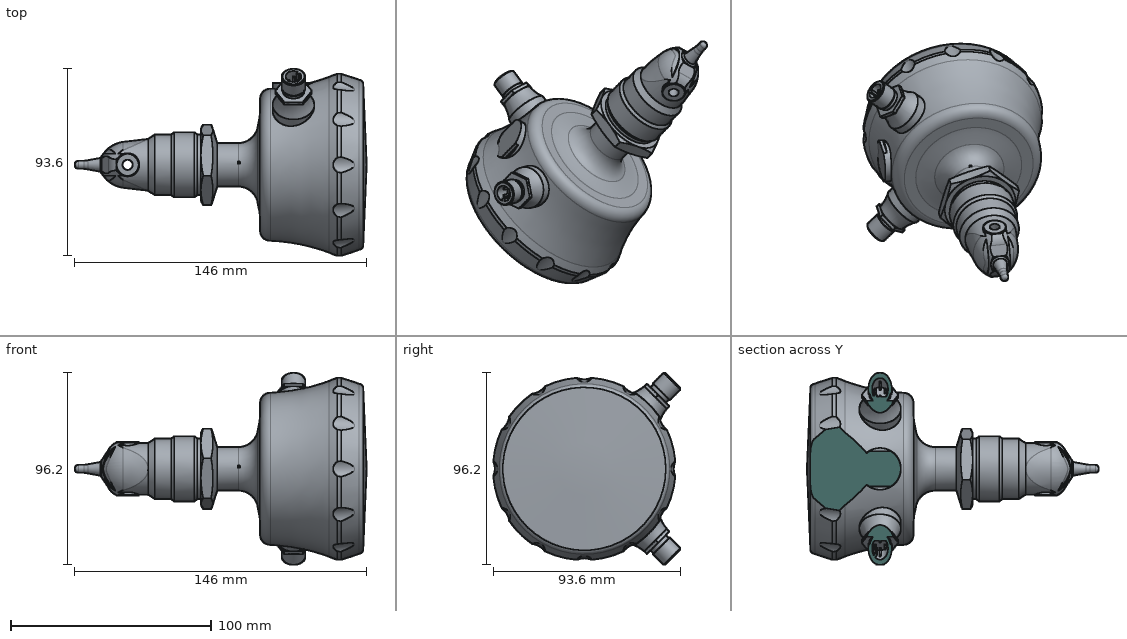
import cadquery as cq
import math

LENGTH = 146

NOZZLE_RADIUS = 2.0
NOZZLE_TIP_ROUND = 1.8
NOZZLE_TAPER_START = 4.5
NOZZLE_COLLAR_START = 6.4
NOZZLE_COLLAR_RADIUS = 2.3
NOZZLE_END = 12.8
NOZZLE_END_RADIUS = 3.5

HEAD_START = 13.6
HEAD_START_RADIUS = 4.5
HEAD_SHOULDER = 21.0
HEAD_ROUND_MIDDLE = (17.4, 9.2)
HEAD_RADIUS = 13.0
HEAD_END = 36.6
SIDE_ROUND_MIDDLE = (17.7, 8.9)
SIDE_BEND = 24.1
SIDE_BEND_WIDTH = 11.5
SIDE_AXIS_OFFSET = 4.4

RIDGE_WIDTH = 11.0
RIDGE_BREAK = (16.8, 9.3)
RIDGE_ROUND_MIDDLE = (18.5, 11.7)
RIDGE_TOP = (20.7, 13.1)

CROSS_X = 26.4
CROSS_HOLE_DIAMETER = 5.0
CROSS_BOSS_DIAMETER = 11.7
CROSS_FACE_DIAMETER = 11.0
CROSS_BOSS_HEIGHT = 13.5

STEP_RADIUS = 15.2
STEP_START = 40.0
STEP_END = 48.2
SHANK_RADIUS = 16.3
SHANK_START = 49.8
SHANK_END = 59.7
RELIEF_START = 61.3

NUT_START = 63.0
NUT_END = 71.2
NUT_ACROSS_FLATS = 36.0
NUT_TURN = 45
NUT_CHAMFER = 1.2
NUT_CONE_START = 68.2

NECK_RADIUS = 11.0
NECK_END = 81.7
NECK_FILLET_END = (91.1, 17.7)
FACE_BLEND_MIDDLE = (92.0, 21.6)
FACE_X = 92.5
FACE_INNER_RADIUS = 27.0
HOUSING_RADIUS = 38.1
HOUSING_EDGE = 5.3
FLANK_MIDDLE = (115.3, 40.5)
FLANK_END = (127, 44.0)
LEAK_HOLE_DIAMETER = 1.2
LEAK_HOLE_X = 82.0
LEAK_HOLE_DEPTH = 1.5
LEAK_HOLE_ANGLES = (-6, 84)

RIM_RADIUS = 45.7
RIM_START = 131.2
RIM_END = 133.1
LID_EDGE = (141.9, 42.6)
LID_FACE = (144.2, 40.7)
LID_ROUND_MIDDLE = (143.6, 41.7)
SCALLOP_COUNT = 12
SCALLOP_DIAMETER = 13.9
SCALLOP_START = (129.0, 44.8)
SCALLOP_END = (139.8, 43.4)

PORT_X = 109.3
CONNECTOR_ANGLES = (45, 135)
SOCKET_DIAMETER = 20.9
SOCKET_TOP = 42.5
CONE_MIDDLE = (8.8, 46.4)
CONE_TOP_DIAMETER = 16
CONE_TOP = 50.4
FLANGE_TOP = 52.3
FLANGE_ACROSS_FLATS = 15.9
PLUG_NECK_DIAMETER = 11.0
PLUG_NECK_TOP = 54.5
PLUG_DIAMETER = 12.0
PLUG_CHAMFER = 0.51
PLUG_TOP = 62.5
BORE_DIAMETER = 7.7
BORE_DEPTH = 8.8
PIN_DIAMETER = 1.0
PIN_LENGTH = 5.8
PIN_CIRCLE_DIAMETER = 5.0
PIN_COUNT = 4
KEY_SIZE = 1.3
KEY_ANGLE = 45

BLIND_ANGLE = 90
BLIND_FLAT_BOTTOM = 39.3
BLIND_ACROSS_FLATS = 17.8
BLIND_TOP = 41.0


def revolve_about_x(profile):
    """Turn a closed half profile (x, radius) about the X axis."""
    return profile.close().revolve(360, (0, 0, 0), (1, 0, 0))


def hexagon_diameter(across_flats):
    """Corner-to-corner size of a hexagon."""
    return across_flats / math.cos(math.pi / 6)


def make_nozzle():
    """Slender tip whose root reaches into the head."""
    return revolve_about_x(
        cq.Workplane("XY")
        .moveTo(0, 0)
        .lineTo(0, NOZZLE_RADIUS - NOZZLE_TIP_ROUND)
        .radiusArc((NOZZLE_TIP_ROUND, NOZZLE_RADIUS), NOZZLE_TIP_ROUND)
        .lineTo(NOZZLE_TAPER_START, NOZZLE_RADIUS)
        .lineTo(NOZZLE_COLLAR_START, NOZZLE_COLLAR_RADIUS)
        .lineTo(NOZZLE_END, NOZZLE_END_RADIUS)
        .lineTo(HEAD_START, HEAD_START_RADIUS)
        .lineTo(HEAD_SHOULDER, HEAD_START_RADIUS)
        .lineTo(HEAD_SHOULDER, 0)
    )


def make_head_side():
    """Turned body about an axis shifted to -Y, which forms the flatter +Y side of the head."""
    side = (
        cq.Workplane("XY")
        .moveTo(HEAD_START, -SIDE_AXIS_OFFSET)
        .lineTo(HEAD_START, HEAD_START_RADIUS)
        .threePointArc(SIDE_ROUND_MIDDLE, (SIDE_BEND, SIDE_BEND_WIDTH))
        .lineTo(HEAD_END, HEAD_RADIUS)
        .lineTo(HEAD_END, -SIDE_AXIS_OFFSET)
        .close()
    )
    return side.revolve(360, (0, -SIDE_AXIS_OFFSET, 0), (1, -SIDE_AXIS_OFFSET, 0))


def make_nose_ridge():
    """Upright web from the nozzle up and down to the two bosses."""
    return (
        cq.Workplane("XZ")
        .moveTo(HEAD_START, 0)
        .lineTo(HEAD_START, HEAD_START_RADIUS)
        .lineTo(*RIDGE_BREAK)
        .threePointArc(RIDGE_ROUND_MIDDLE, RIDGE_TOP)
        .lineTo(CROSS_X, RIDGE_TOP[1])
        .lineTo(CROSS_X, 0)
        .mirrorX()
        .extrude(RIDGE_WIDTH / 2, both=True)
    )


def make_head():
    """Domed head with flattened sides, a nose ridge and a boss above and below."""
    core = revolve_about_x(
        cq.Workplane("XY")
        .moveTo(HEAD_START, 0)
        .lineTo(HEAD_START, HEAD_START_RADIUS)
        .threePointArc(HEAD_ROUND_MIDDLE, (HEAD_SHOULDER, HEAD_RADIUS))
        .lineTo(HEAD_END, HEAD_RADIUS)
        .lineTo(HEAD_END, 0)
    )
    side = make_head_side()
    head = core.union(make_nose_ridge()).intersect(side).intersect(side.mirror("XZ"))
    boss = (
        cq.Workplane("XY", origin=(CROSS_X, 0, -CROSS_BOSS_HEIGHT))
        .circle(CROSS_BOSS_DIAMETER / 2)
        .extrude(2 * CROSS_BOSS_HEIGHT)
        .faces("|Z")
        .chamfer((CROSS_BOSS_DIAMETER - CROSS_FACE_DIAMETER) / 2)
    )
    return head.union(boss)


def make_cross_hole():
    """Hole along Z through the head and both bosses."""
    return (
        cq.Workplane("XY", origin=(CROSS_X, 0, -CROSS_BOSS_HEIGHT))
        .circle(CROSS_HOLE_DIAMETER / 2)
        .extrude(2 * CROSS_BOSS_HEIGHT)
    )


def make_turned_body():
    """Shank, neck, housing and lid as one turned profile."""
    edge_mid = HOUSING_EDGE * (1 - math.sqrt(0.5))
    return revolve_about_x(
        cq.Workplane("XY")
        .moveTo(HEAD_END, 0)
        .lineTo(HEAD_END, HEAD_RADIUS)
        .lineTo(STEP_START, STEP_RADIUS)
        .lineTo(STEP_END, STEP_RADIUS)
        .lineTo(SHANK_START, SHANK_RADIUS)
        .lineTo(SHANK_END, SHANK_RADIUS)
        .lineTo(RELIEF_START, STEP_RADIUS)
        .lineTo(NUT_START, STEP_RADIUS)
        .lineTo(NUT_START, NECK_RADIUS)
        .lineTo(NECK_END, NECK_RADIUS)
        .tangentArcPoint(NECK_FILLET_END, relative=False)
        .threePointArc(FACE_BLEND_MIDDLE, (FACE_X, FACE_INNER_RADIUS))
        .lineTo(FACE_X, HOUSING_RADIUS - HOUSING_EDGE)
        .threePointArc(
            (FACE_X + edge_mid, HOUSING_RADIUS - edge_mid),
            (FACE_X + HOUSING_EDGE, HOUSING_RADIUS),
        )
        .threePointArc(FLANK_MIDDLE, FLANK_END)
        .lineTo(RIM_START, RIM_RADIUS)
        .lineTo(RIM_END, RIM_RADIUS)
        .lineTo(*LID_EDGE)
        .threePointArc(LID_ROUND_MIDDLE, LID_FACE)
        .lineTo(LENGTH, 0)
    )


def make_nut():
    """Hexagon nut with chamfered corners and a conical rear face."""
    corner_radius = hexagon_diameter(NUT_ACROSS_FLATS) / 2
    hexagon = (
        cq.Workplane("YZ", origin=(NUT_START, 0, 0))
        .polygon(6, 2 * corner_radius)
        .extrude(NUT_END - NUT_START)
        .rotate((0, 0, 0), (1, 0, 0), NUT_TURN)
    )
    envelope = revolve_about_x(
        cq.Workplane("XY")
        .moveTo(NUT_START, 0)
        .lineTo(NUT_START, NUT_ACROSS_FLATS / 2)
        .lineTo(NUT_START + NUT_CHAMFER, corner_radius)
        .lineTo(NUT_CONE_START, corner_radius)
        .lineTo(NUT_END, NECK_RADIUS)
        .lineTo(NUT_END, 0)
    )
    return hexagon.intersect(envelope)


def make_scallops():
    """Inclined round grooves spread evenly around the rim of the lid."""
    run = SCALLOP_END[0] - SCALLOP_START[0]
    drop = SCALLOP_START[1] - SCALLOP_END[1]
    overrun = SCALLOP_DIAMETER
    cutter = (
        cq.Workplane("YZ", origin=(-overrun, 0, SCALLOP_DIAMETER / 2))
        .circle(SCALLOP_DIAMETER / 2)
        .extrude(math.hypot(run, drop) + 2 * overrun)
        .rotate((0, 0, 0), (0, 1, 0), math.degrees(math.atan2(drop, run)))
        .translate((SCALLOP_START[0], 0, SCALLOP_START[1]))
    )
    cutters = cq.Workplane("XY")
    for index in range(SCALLOP_COUNT):
        turned = cutter.rotate((0, 0, 0), (1, 0, 0), index * 360 / SCALLOP_COUNT)
        cutters = cutters.add(turned)
    return cutters.combine()


def make_leak_hole(angle):
    """Small blind hole across the neck, turned from +Z toward -Y by the angle."""
    return (
        cq.Workplane("XY", origin=(LEAK_HOLE_X, 0, NECK_RADIUS - LEAK_HOLE_DEPTH))
        .circle(LEAK_HOLE_DIAMETER / 2)
        .extrude(2 * LEAK_HOLE_DEPTH)
        .rotate((0, 0, 0), (1, 0, 0), angle)
    )


def disc(diameter, bottom, top):
    """Upright cylinder on the Z axis between two heights."""
    return cq.Workplane("XY", origin=(0, 0, bottom)).circle(diameter / 2).extrude(top - bottom)


def make_connector():
    """Plug connector standing along +Z, with z = 0 on the main axis."""
    root = HOUSING_RADIUS - HOUSING_EDGE
    base = (
        cq.Workplane("XZ")
        .moveTo(0, root)
        .lineTo(SOCKET_DIAMETER / 2, root)
        .lineTo(SOCKET_DIAMETER / 2, SOCKET_TOP)
        .threePointArc(CONE_MIDDLE, (CONE_TOP_DIAMETER / 2, CONE_TOP))
        .lineTo(0, CONE_TOP)
        .close()
        .revolve(360, (0, 0, 0), (0, 1, 0))
    )
    flange = (
        cq.Workplane("XY", origin=(0, 0, CONE_TOP))
        .polygon(6, hexagon_diameter(FLANGE_ACROSS_FLATS))
        .extrude(FLANGE_TOP - CONE_TOP)
    )
    plug_neck = disc(PLUG_NECK_DIAMETER, CONE_TOP, PLUG_NECK_TOP)
    plug = disc(PLUG_DIAMETER, PLUG_NECK_TOP, PLUG_TOP).faces(">Z").chamfer(PLUG_CHAMFER)
    bore_bottom = PLUG_TOP - BORE_DEPTH
    bore = disc(BORE_DIAMETER, bore_bottom, PLUG_TOP)
    pins = (
        cq.Workplane("XY", origin=(0, 0, bore_bottom))
        .polarArray(PIN_CIRCLE_DIAMETER / 2, 0, 360, PIN_COUNT)
        .circle(PIN_DIAMETER / 2)
        .extrude(PIN_LENGTH)
    )
    key = (
        cq.Workplane("XY", origin=(0, 0, bore_bottom))
        .center(BORE_DIAMETER / 2, 0)
        .rect(2 * KEY_SIZE, KEY_SIZE)
        .extrude(BORE_DEPTH)
        .rotate((0, 0, 0), (0, 0, 1), KEY_ANGLE)
        .intersect(bore)
    )
    shell = base.union(flange).union(plug_neck).union(plug).cut(bore)
    return shell.union(pins).union(key)


def make_blind_plug():
    """Closed port standing along +Z, with z = 0 on the main axis."""
    root = HOUSING_RADIUS - HOUSING_EDGE
    flange = disc(SOCKET_DIAMETER, root, BLIND_FLAT_BOTTOM)
    flats = (
        cq.Workplane("XY", origin=(0, 0, BLIND_FLAT_BOTTOM))
        .rect(SOCKET_DIAMETER, BLIND_ACROSS_FLATS)
        .extrude(BLIND_TOP - BLIND_FLAT_BOTTOM)
    )
    return flange.union(disc(SOCKET_DIAMETER, root, BLIND_TOP).intersect(flats))


def place_port(port, angle):
    """Move a port along X and lean it from +Z toward +Y by the angle."""
    return port.rotate((0, 0, 0), (1, 0, 0), -angle).translate((PORT_X, 0, 0))


body = make_turned_body().cut(make_scallops())
body = body.union(make_nut()).union(make_head()).union(make_nozzle())
body = body.cut(make_cross_hole())
for leak_angle in LEAK_HOLE_ANGLES:
    body = body.cut(make_leak_hole(leak_angle))
for connector_angle in CONNECTOR_ANGLES:
    body = body.union(place_port(make_connector(), connector_angle))
body = body.union(place_port(make_blind_plug(), BLIND_ANGLE))

result = body